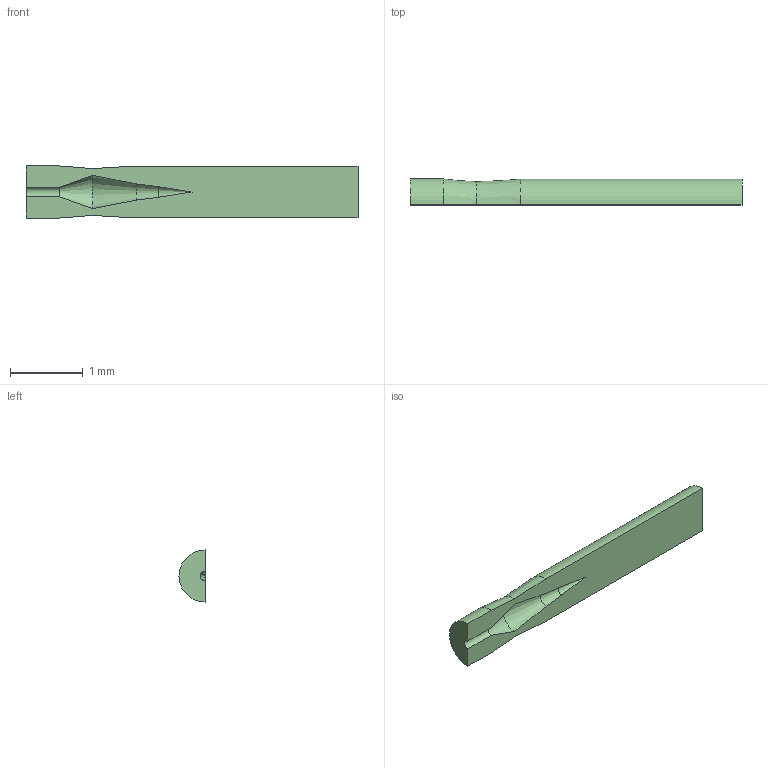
import cadquery as cq

length = 4.572
channel_end_x = length / 10
neck_x = 2 * channel_end_x
shank_start_x = 1.524
tip_bend_x = 1.829
tip_x = length / 2

head_radius = 0.359
neck_radius = 0.3225
shank_radius = 0.358

channel_radius = 0.065
chamber_radius = 0.229
taper_radius = 0.111
tip_bend_radius = 0.073

outer_wall = [
    (0, head_radius),
    (channel_end_x, head_radius),
    (neck_x, neck_radius),
    (shank_start_x, shank_radius),
    (length, shank_radius),
]

cavity_wall = [
    (0, channel_radius),
    (channel_end_x, channel_radius),
    (neck_x, chamber_radius),
    (shank_start_x, taper_radius),
    (tip_bend_x, tip_bend_radius),
    (tip_x, 0),
]

half_turn = 180

wall_section = outer_wall + [(length, 0)] + cavity_wall[::-1]
result = (
    cq.Workplane("XZ")
    .polyline(wall_section)
    .close()
    .revolve(half_turn, (0, 0), (-1, 0))
)